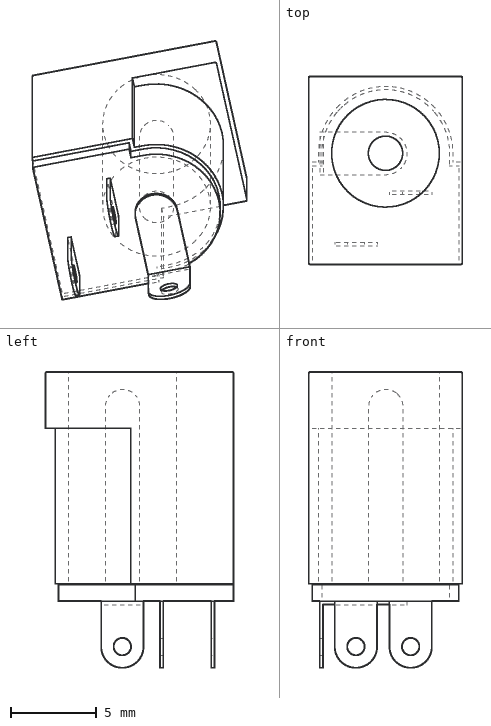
import cadquery as cq

TOP_Z = 17.3
CAP_HEIGHT = 3.3
BASE_BOTTOM_Z = 3.91
BASE_HEIGHT = 0.95
HOUSING_GAP = 0.05
BASE_TOP_Z = BASE_BOTTOM_Z + BASE_HEIGHT
HOUSING_BOTTOM_Z = BASE_TOP_Z + HOUSING_GAP

HOUSING_WIDTH = 9.0
FRONT_Y = -6.5
CAP_BACK_Y = HOUSING_WIDTH / 2
SHOULDER_Y = -0.5
BARREL_RADIUS = 3.93
BORE_DIAMETER = 6.3
EDGE_RADIUS = 0.1

BASE_WIDTH = 8.58
BASE_SHOULDER_Y = -0.75
BASE_BARREL_RADIUS = 3.74

PIN_RADIUS = 1.0
PIN_TIP_Z = 16.3

TAIL_WIDTH = 2.49
TAIL_THICKNESS = 0.2
TAIL_HOLE_DIAMETER = 1.0
FRONT_TAIL_POSITIONS = [(-1.73, -5.3), (1.47, -2.3)]
PIN_TAIL_X = -3.75


def keyhole_prism(width, shoulder_y, barrel_radius, bottom_z, height):
    """Prism with a wide front block and a narrower, round-backed barrel behind the shoulder."""
    return (
        cq.Workplane("XY", origin=(0, 0, bottom_z))
        .moveTo(-width / 2, FRONT_Y)
        .lineTo(width / 2, FRONT_Y)
        .lineTo(width / 2, shoulder_y)
        .lineTo(barrel_radius, shoulder_y)
        .lineTo(barrel_radius, 0)
        .threePointArc((0, barrel_radius), (-barrel_radius, 0))
        .lineTo(-barrel_radius, shoulder_y)
        .lineTo(-width / 2, shoulder_y)
        .close()
        .extrude(height)
    )


def make_housing():
    """Block with an overhanging cap, a round-backed barrel and a plug bore right through."""
    housing_height = TOP_Z - HOUSING_BOTTOM_Z
    depth = CAP_BACK_Y - FRONT_Y
    block = (
        cq.Workplane("XY", origin=(0, FRONT_Y + depth / 2, HOUSING_BOTTOM_Z))
        .rect(HOUSING_WIDTH, depth)
        .extrude(housing_height)
        .edges("|Z or >Z")
        .fillet(EDGE_RADIUS)
    )
    cap_space = (
        cq.Workplane("XY", origin=(0, 0, TOP_Z - CAP_HEIGHT))
        .rect(2 * HOUSING_WIDTH, 2 * depth)
        .extrude(CAP_HEIGHT)
    )
    body_space = keyhole_prism(HOUSING_WIDTH, SHOULDER_Y, BARREL_RADIUS, HOUSING_BOTTOM_Z, housing_height)
    bore = (
        cq.Workplane("XY", origin=(0, 0, HOUSING_BOTTOM_Z))
        .circle(BORE_DIAMETER / 2)
        .extrude(housing_height)
    )
    return block.intersect(cap_space.union(body_space)).cut(bore)


def make_pin():
    """Round pin with a hemispherical tip, standing on the base."""
    tip_center_z = PIN_TIP_Z - PIN_RADIUS
    shank = (
        cq.Workplane("XY", origin=(0, 0, BASE_TOP_Z))
        .circle(PIN_RADIUS)
        .extrude(tip_center_z - BASE_TOP_Z)
    )
    tip = cq.Workplane("XY", origin=(0, 0, tip_center_z)).sphere(PIN_RADIUS)
    return shank.union(tip)


def make_tail():
    """Flat tail in the XZ plane, centred on X = 0 and Y = 0, with a round end and a hole."""
    radius = TAIL_WIDTH / 2
    return (
        cq.Workplane("XZ")
        .moveTo(-radius, BASE_BOTTOM_Z)
        .lineTo(-radius, radius)
        .threePointArc((0, 0), (radius, radius))
        .lineTo(radius, BASE_BOTTOM_Z)
        .close()
        .moveTo(0, radius)
        .circle(TAIL_HOLE_DIAMETER / 2)
        .extrude(TAIL_THICKNESS / 2, both=True)
    )


def make_pin_strap():
    """Strip under the base from the pin tail to a round end about the pin axis."""
    radius = TAIL_WIDTH / 2
    start_x = PIN_TAIL_X - TAIL_THICKNESS / 2
    return (
        cq.Workplane("XY", origin=(0, 0, BASE_BOTTOM_Z - TAIL_THICKNESS))
        .moveTo(start_x, -radius)
        .lineTo(0, -radius)
        .threePointArc((radius, 0), (0, radius))
        .lineTo(start_x, radius)
        .close()
        .extrude(TAIL_THICKNESS)
    )


def make_contact_insert():
    """Base plate just below the housing, carrying the pin, its strap and the solder tails."""
    insert = keyhole_prism(BASE_WIDTH, BASE_SHOULDER_Y, BASE_BARREL_RADIUS, BASE_BOTTOM_Z, BASE_HEIGHT)
    insert = insert.union(make_pin()).union(make_pin_strap())
    for x, y in FRONT_TAIL_POSITIONS:
        insert = insert.union(make_tail().translate((x, y, 0)))
    pin_tail = make_tail().rotate((0, 0, 0), (0, 0, 1), 90).translate((PIN_TAIL_X, 0, 0))
    return insert.union(pin_tail)


housing = make_housing()
contact_insert = make_contact_insert()

result = cq.Compound.makeCompound([housing.val(), contact_insert.val()])